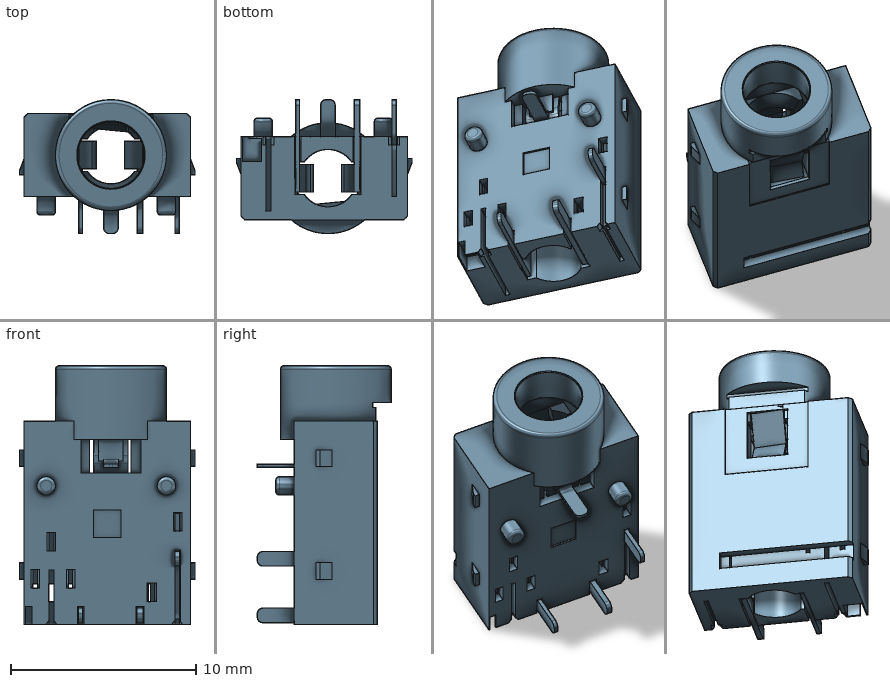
import cadquery as cq

block_left = -4.7
block_right = 4.3
block_half_depth = 2.25
block_height = 11.0
rear_chamfer = 0.2
block_front = -block_half_depth
block_rear = block_half_depth

barrel_radius = 3.0
barrel_bottom = 10.0
barrel_top = 14.0
barrel_edge_fillet = 0.2
barrel_flat_y = 2.0
barrel_flat_top = 12.0
lug_rear_y = 2.17
lug_top = 11.75
mouth_radius = 1.8
mouth_chamfer = 0.05
bore_radius = 1.55
mouth_bottom = 12.0
cone_top = 11.0
cone_bottom = 10.2

cavity_half_width = 1.78
cavity_half_depth = 0.88
cavity_top = cone_top

window_half_width = 1.62
window_bottom = 8.2
window_depth = 0.48
passage_left = -1.15
passage_right = 1.08
passage_top = block_height
neck_half_width = 0.95
passage_bottom = 7.9

post_xs = (-3.5, 3.0)
post_z = 7.5
post_radius = 0.5
post_length = 1.0
post_edge_fillet = 0.2

wedge_reach = 0.25
wedge_height = 0.9
wedge_zs = (2.45, 8.55)
wedge_rear_y = -0.2
wedge_crest_y = -0.85
wedge_front_y = -1.07

label_size = 1.5
label_left = -0.95
label_bottom = 4.7
label_depth = 0.1

channel_bottom = 1.25
channel_top = 2.2
channel_floor_y = 1.77
channel_right = 2.6

peek_height = 1.0
peek_step_depth = 0.5
peek_windows = (
    (-4.09, 1.98, 0.46, -4.22, -3.96),
    (-3.22, 3.97, 0.46, -3.35, -3.09),
    (-2.17, 1.98, 0.46, -2.30, -2.08),
    (3.61, 5.06, 0.48, 3.46, 3.72),
)

lance_window_x = 2.21
lance_window_bottom = channel_bottom
lance_window_width = 0.53
lance_slot_left = 2.02
lance_slit_right = 2.13
lance_slot_right = 2.36
lance_floor_y = -1.2

empty_slot_x = -3.22
empty_slot_width = 0.26
empty_slot_top = 2.95
flare_half_width = 0.3
flare_height = 0.2
flare_apex_height = 0.4
corner_slot_left = -4.63
corner_slot_right = -4.28
corner_wall = 0.1
corner_pocket_right = -3.6
corner_pocket_rear_y = -0.9
low_slot_height = 0.97

tail_tip_y = -4.25
tail_width = 0.8
tail_tip_radius = 0.32
tail_margin = 0.07
side_tail_bottom = 0.1

left_x = -1.64
left_thickness = 0.22
left_crest_x = -0.79
left_bend_x = -1.03
left_top = 7.0
left_tip_drop = 1.0

right_x = 1.57
right_thickness = 0.3
right_crest_x = 0.72
right_top = 7.3
right_bend_drop = 1.0
right_leaf_bottom = 5.0
leaf_gauge = 0.15
spring_half_depth = 0.75

outer_x = 3.58
outer_thickness = 0.24
outer_bottom = 0.3
outer_top = 6.0
outer_tail_bottom = 3.16
outer_front_y = -1.8
outer_rear_y = 1.0

front_half_width = 0.66
front_y = -2.05
front_gauge = 0.18
front_tail_bottom = 8.5
front_blade_bottom = 8.85
front_blade_top = 10.4
front_bend_radius = 0.25
flap_half_width = 0.93
flap_apex_y = -1.95
flap_end_y = -1.75
flap_apex_z = 8.93
flap_gauge = 0.15
flap_bend_radius = 0.9

plate_half_width = 2.28
plate_front_y = barrel_flat_y
plate_rear_y = 2.18
plate_bottom = 7.0
plate_top = block_height
plate_window_top = 10.7
v_half_width = 0.9
v_apex_y = 1.34
v_apex_z = 8.9
v_root_y = 1.97
v_root_z = 10.9
v_tip_y = 1.75
v_tip_z = 8.0
v_gauge = 0.15
v_twist = -5.5


def box(x0, x1, y0, y1, z0, z1):
    return cq.Workplane("XY").box(x1 - x0, y1 - y0, z1 - z0, centered=False).translate((x0, y0, z0))


def cylinder(radius, z0, z1):
    return cq.Workplane("XY").workplane(offset=z0).circle(radius).extrude(z1 - z0)


def extrude_in_depth(points, y0, y1):
    """Extrude an X-Z outline from y0 to y1."""
    return cq.Workplane("XZ", origin=(0, y0, 0)).polyline(points).close().extrude(y0 - y1)


def extrude_in_width(points, x0, x1):
    """Extrude a Y-Z outline from x0 to x1."""
    return cq.Workplane("YZ", origin=(x0, 0, 0)).polyline(points).close().extrude(x1 - x0)


def upright_tail(x, thickness, bottom, rear_y):
    """A solder tail standing on edge, with a rounded tip."""
    tail = box(x - thickness / 2, x + thickness / 2, tail_tip_y, rear_y, bottom, bottom + tail_width)
    return tail.edges("|X and <Y").fillet(tail_tip_radius)




def barrel():
    solid = cylinder(barrel_radius, barrel_bottom, barrel_top).faces(">Z").edges().fillet(barrel_edge_fillet)
    solid = solid.cut(
        box(-barrel_radius, barrel_radius, barrel_flat_y, barrel_radius, lug_top, barrel_flat_top)
    )
    return solid.cut(box(-barrel_radius, barrel_radius, lug_rear_y, barrel_radius, barrel_bottom, lug_top))


def plug_bore():
    profile = [
        (0, 0),
        (bore_radius, 0),
        (bore_radius, cone_bottom),
        (mouth_radius, cone_top),
        (mouth_radius, barrel_top - mouth_chamfer),
        (mouth_radius + mouth_chamfer, barrel_top),
        (0, barrel_top),
    ]
    return cq.Workplane("XZ").polyline(profile).close().revolve(360, (0, 0, 0), (0, 1, 0))


def posts():
    solid = (
        cq.Workplane("XZ", origin=(0, block_front, 0))
        .pushPoints([(x, post_z) for x in post_xs])
        .circle(post_radius)
        .extrude(post_length)
    )
    return solid.faces("<Y").edges().fillet(post_edge_fillet)


def wedge(side_x, outward, bottom):
    crest_x = side_x + outward * wedge_reach
    outline = [
        (side_x, wedge_rear_y),
        (crest_x, wedge_crest_y),
        (crest_x, wedge_front_y),
        (side_x, wedge_front_y),
    ]
    return cq.Workplane("XY").workplane(offset=bottom).polyline(outline).close().extrude(wedge_height)


def peek_window(x, bottom, width, slot_left, slot_right):
    """A shallow front window with a narrow slot that runs back to the depth of the rear channel."""
    top = bottom + peek_height
    step_y = block_front + peek_step_depth
    window = box(x - width / 2, x + width / 2, block_front, step_y, bottom, top)
    return window.union(box(slot_left, slot_right, block_front, channel_floor_y, bottom, top))


def flare(x):
    """A lead-in that widens a slot at the bottom edge of the front wall."""
    outline = [(x - flare_half_width, 0), (x + flare_half_width, 0), (x, flare_apex_height)]
    cap = box(x - flare_half_width, x + flare_half_width, block_front, outer_front_y, 0, flare_height)
    return extrude_in_depth(outline, block_front, outer_front_y).intersect(cap)


def lance_window():
    """A window whose slot is deep only along a slit at its left side."""
    top = lance_window_bottom + peek_height
    step_y = block_front + peek_step_depth
    half = lance_window_width / 2
    window = box(
        lance_window_x - half, lance_window_x + half, block_front, step_y, lance_window_bottom, top
    )
    window = window.union(
        box(lance_slot_left, lance_slot_right, block_front, lance_floor_y, lance_window_bottom, top)
    )
    return window.union(
        box(lance_slot_left, lance_slit_right, block_front, channel_floor_y, lance_window_bottom, top)
    )


def corner_pocket():
    """A slit in the front wall at the lower left corner, opening into a wider pocket behind it."""
    pocket_front = block_front + corner_wall
    slit = box(corner_slot_left, corner_slot_right, block_front, pocket_front, 0, low_slot_height)
    return slit.union(
        box(corner_slot_left, corner_pocket_right, pocket_front, corner_pocket_rear_y, 0, low_slot_height)
    )


def front_window():
    """The shallow front window with the narrower passage that runs on into the bore."""
    window_rear = block_front + window_depth
    window = box(
        -window_half_width, window_half_width, block_front, window_rear, window_bottom, barrel_bottom
    )
    passage = box(passage_left, passage_right, block_front, 0, window_bottom, barrel_bottom)
    return window.union(passage)


def rear_passage():
    """The opening from the bore to the rear face, narrower beside the bore cone."""
    wide = box(passage_left, passage_right, 0, block_rear, passage_bottom, cone_bottom)
    return wide.union(box(-neck_half_width, neck_half_width, 0, block_rear, cone_bottom, passage_top))


def label_square():
    floor_y = block_front + label_depth
    return box(
        label_left, label_left + label_size, block_front, floor_y, label_bottom, label_bottom + label_size
    )


def rear_channel():
    return box(block_left, channel_right, channel_floor_y, block_rear, channel_bottom, channel_top)


def empty_slot():
    half = empty_slot_width / 2
    return box(
        empty_slot_x - half, empty_slot_x + half, block_front, channel_floor_y, 0, empty_slot_top
    )


def side_tail_slot(x, thickness):
    half = thickness / 2 + tail_margin
    return box(x - half, x + half, block_front, 0, 0, low_slot_height)


def outer_contact_slot():
    half = outer_thickness / 2
    front_top = outer_tail_bottom + tail_width + tail_margin
    front = box(outer_x - half, outer_x + half + tail_margin, block_front, outer_front_y, 0, front_top)
    return front.union(box(outer_x - half, outer_x + half, outer_front_y, outer_rear_y, 0, outer_top))


def front_blade_slot():
    return box(
        -front_half_width, front_half_width, front_y, front_y + front_gauge, barrel_bottom, front_blade_top
    )


def rear_plate_recess():
    return box(-plate_half_width, plate_half_width, plate_front_y, block_rear, plate_bottom, block_height)


def build_housing():
    solid = box(block_left, block_right, block_front, block_rear, 0, block_height)
    solid = solid.edges("|Z and >Y").chamfer(rear_chamfer)
    solid = solid.union(barrel()).union(posts())
    for bottom in wedge_zs:
        solid = solid.union(wedge(block_left, -1, bottom)).union(wedge(block_right, 1, bottom))

    solid = solid.cut(plug_bore())
    solid = solid.cut(box(-mouth_radius, mouth_radius, -mouth_radius, mouth_radius, cone_top, mouth_bottom))
    solid = solid.cut(
        box(-cavity_half_width, cavity_half_width, -cavity_half_depth, cavity_half_depth, 0, cavity_top)
    )
    solid = solid.cut(front_window()).cut(rear_passage()).cut(rear_plate_recess())
    solid = solid.cut(label_square()).cut(rear_channel())
    for window in peek_windows:
        solid = solid.cut(peek_window(*window))
    solid = solid.cut(lance_window()).cut(empty_slot()).cut(corner_pocket())
    for x in (empty_slot_x, outer_x):
        solid = solid.cut(flare(x))
    solid = solid.cut(side_tail_slot(left_x, left_thickness))
    solid = solid.cut(side_tail_slot(right_x, right_thickness))
    solid = solid.cut(outer_contact_slot()).cut(front_blade_slot())
    return solid




def build_left_contact():
    outer = left_x - left_thickness / 2
    inner = left_x + left_thickness / 2
    tip_z = left_top - left_tip_drop
    profile = [
        (outer, side_tail_bottom),
        (inner, side_tail_bottom),
        (inner, left_top - leaf_gauge),
        (left_bend_x - leaf_gauge, left_top - leaf_gauge),
        (left_crest_x - leaf_gauge, tip_z),
        (left_crest_x, tip_z),
        (left_bend_x, left_top),
        (outer, left_top),
    ]
    spring = extrude_in_depth(profile, -spring_half_depth, spring_half_depth)
    return spring.union(upright_tail(left_x, left_thickness, side_tail_bottom, 0))


def build_right_contact():
    outer = right_x + right_thickness / 2
    inner = right_x - right_thickness / 2
    profile = [
        (outer, side_tail_bottom),
        (inner, side_tail_bottom),
        (inner, right_top - right_bend_drop),
        (right_crest_x + leaf_gauge, right_leaf_bottom),
        (right_crest_x, right_leaf_bottom),
        (outer, right_top),
    ]
    spring = extrude_in_depth(profile, -spring_half_depth, spring_half_depth)
    return spring.union(upright_tail(right_x, right_thickness, side_tail_bottom, 0))


def build_outer_contact():
    half = outer_thickness / 2
    blade = box(outer_x - half, outer_x + half, outer_front_y, outer_rear_y, outer_bottom, outer_top)
    return blade.union(upright_tail(outer_x, outer_thickness, outer_tail_bottom, 0))


def front_flap():
    """A V bent strip behind the front blade, with its ridge toward the front."""
    profile = [
        (flap_end_y, barrel_bottom),
        (flap_apex_y, flap_apex_z),
        (flap_end_y, window_bottom),
        (flap_end_y + flap_gauge, window_bottom),
        (flap_apex_y + flap_gauge, flap_apex_z),
        (flap_end_y + flap_gauge, barrel_bottom),
    ]
    flap = extrude_in_width(profile, -flap_half_width, flap_half_width)
    return flap.edges("|X and <Y").fillet(flap_bend_radius)


def build_front_contact():
    blade_rear = front_y + front_gauge
    tail_top = front_tail_bottom + front_gauge
    half_tail = tail_width / 2
    blade = box(-front_half_width, front_half_width, front_y, blade_rear, front_blade_bottom, front_blade_top)
    tail = box(-half_tail, half_tail, tail_tip_y, blade_rear, front_tail_bottom, tail_top)
    tail = tail.edges("|Z and <Y").fillet(tail_tip_radius)
    neck = box(-half_tail, half_tail, front_y, blade_rear, front_tail_bottom, front_blade_bottom)
    bend = (
        cq.Workplane("YZ", origin=(-half_tail, 0, 0))
        .moveTo(front_y, tail_top)
        .lineTo(front_y, tail_top + front_bend_radius)
        .radiusArc((front_y - front_bend_radius, tail_top), front_bend_radius)
        .close()
        .extrude(tail_width)
    )
    return blade.union(tail).union(neck).union(bend).union(front_flap())


def build_rear_contact():
    plate = box(
        -plate_half_width, plate_half_width, plate_front_y, plate_rear_y, plate_bottom, plate_top
    )
    plate = plate.cut(
        box(passage_left, passage_right, plate_front_y, plate_rear_y, passage_bottom, plate_window_top)
    )
    profile = [
        (v_root_y, v_root_z),
        (v_apex_y, v_apex_z),
        (v_tip_y, v_tip_z),
        (v_tip_y + v_gauge, v_tip_z),
        (v_apex_y + v_gauge, v_apex_z),
        (v_root_y + v_gauge, v_root_z),
    ]
    spring = extrude_in_width(profile, -v_half_width, v_half_width)
    spring = spring.rotate((0, v_root_y, 0), (0, v_root_y, 1), v_twist)
    return plate.union(spring)


housing = build_housing()
left_contact = build_left_contact()
right_contact = build_right_contact()
outer_contact = build_outer_contact()
front_contact = build_front_contact()
rear_contact = build_rear_contact()

result = cq.Compound.makeCompound(
    [
        housing.val(),
        left_contact.val(),
        right_contact.val(),
        outer_contact.val(),
        front_contact.val(),
        rear_contact.val(),
    ]
)